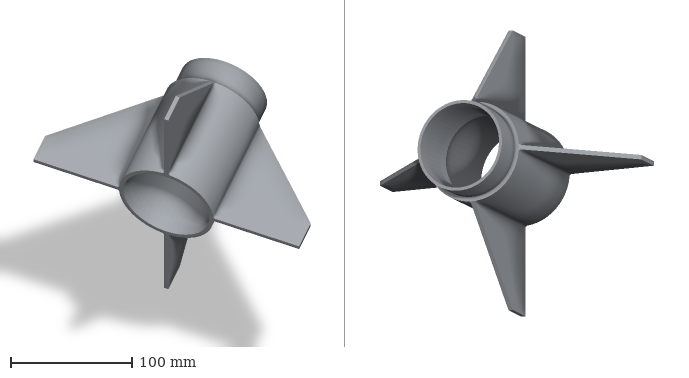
import cadquery as cq

fin_span = 236.2
overall_length = 127.0

sleeve_outer_diameter = 83.9
coupler_diameter = 76.3
coupler_bore = 71.0
coupler_exposed_length = 25.5
sleeve_length = overall_length - coupler_exposed_length
sleeve_radius = sleeve_outer_diameter / 2

coupler_insertion = coupler_exposed_length

fin_count = 4
fin_thickness = 3.8
fin_tip_length = 25.5
fin_root_fillet = 2.0


def cylinder(diameter, start_y, length):
    """Cylinder on the Y axis that runs from start_y toward +Y."""
    plane = cq.Workplane("XZ", origin=(0, start_y, 0))
    return plane.circle(diameter / 2).extrude(-length)


def turn_to_fin(shape, index):
    """Turn a shape from +X to the direction of the given fin, about the Y axis."""
    return shape.rotate((0, 0, 0), (0, 1, 0), index * 360 / fin_count)


def make_fin_blank():
    """Rectangular plate along +X, as long as the sleeve, that reaches into the sleeve's middle."""
    plate = cq.Workplane("XY").rect(fin_span / 2, sleeve_length, centered=False)
    return plate.extrude(fin_thickness / 2, both=True)


def make_sweep_cutter():
    """Triangular block that cuts the slope from the fin tip to the back of the fin root."""
    tip_radius = fin_span / 2
    half_width = fin_thickness / 2 + 2 * fin_root_fillet
    return (
        cq.Workplane("XY")
        .moveTo(tip_radius, fin_tip_length)
        .lineTo(tip_radius, sleeve_length)
        .lineTo(sleeve_radius, sleeve_length)
        .close()
        .extrude(half_width, both=True)
    )


def make_finned_sleeve():
    """Tube with swept fins, blended along both sides of every fin root."""
    sleeve = cylinder(sleeve_outer_diameter, 0, sleeve_length)
    for index in range(fin_count):
        sleeve = sleeve.union(turn_to_fin(make_fin_blank(), index))

    root_zone = cq.selectors.BoxSelector(
        (-sleeve_outer_diameter, 0, -sleeve_outer_diameter),
        (sleeve_outer_diameter, sleeve_length, sleeve_outer_diameter),
    )
    sleeve = sleeve.edges("|Y").edges(root_zone).fillet(fin_root_fillet)

    for index in range(fin_count):
        sleeve = sleeve.cut(turn_to_fin(make_sweep_cutter(), index))
    return sleeve.cut(cylinder(coupler_diameter, 0, sleeve_length))


def make_coupler():
    """Tube seated in the back of the sleeve bore and sticking out behind it."""
    start_y = sleeve_length - coupler_insertion
    length = coupler_insertion + coupler_exposed_length
    coupler = cylinder(coupler_diameter, start_y, length)
    return coupler.cut(cylinder(coupler_bore, start_y, length))


finned_sleeve = make_finned_sleeve()
coupler = make_coupler()

result = cq.Compound.makeCompound([*finned_sleeve.solids().vals(), *coupler.solids().vals()])